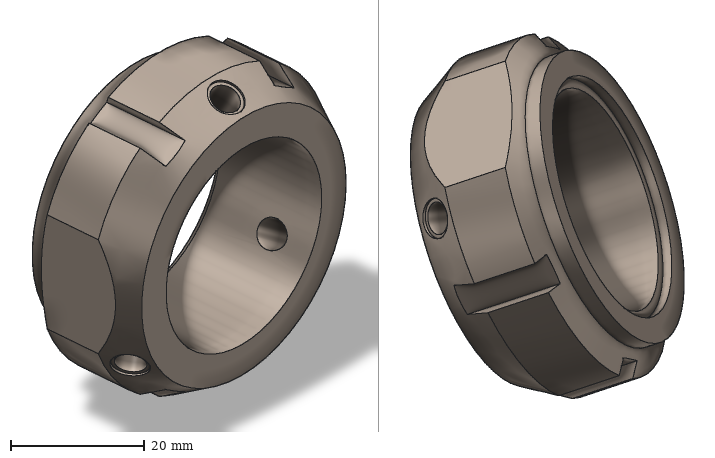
import cadquery as cq
import math

length = 22.0
outer_radius = 54.0 / 2
end_radius = 46.0 / 2
shoulder_length = 2.5
steep_cone_angle = 60.0
shallow_cone_angle = 30.0

bore_radius = 35.0 / 2
recess_radius = 38.0 / 2
recess_depth = 1.5

flat_width = 50.0

slot_width = 5.0
slot_floor_radius = 24.5
slot_angles = (60, 120, 240, 300)

screw_hole_diameter = 4.92
counterbore_diameter = 6.1
counterbore_depth = 0.5
screw_hole_setback = 3.5
screw_hole_angles = (90, 210, 330)

cone_height = outer_radius - end_radius
steep_cone_end = shoulder_length + cone_height / math.tan(math.radians(steep_cone_angle))
shallow_cone_slope = math.tan(math.radians(shallow_cone_angle))
shallow_cone_start = length - cone_height / shallow_cone_slope
screw_hole_x = length - screw_hole_setback
screw_hole_radius_at_cone = end_radius + screw_hole_setback * shallow_cone_slope
cutter_margin = 2.0

X_AXIS_START = (0, 0, 0)
X_AXIS_END = (1, 0, 0)


def turned_body():
    """Ring with a shoulder, two cones, a bore and a bore recess."""
    profile = (
        cq.Workplane("XY")
        .moveTo(0, recess_radius)
        .lineTo(0, end_radius)
        .lineTo(shoulder_length, end_radius)
        .lineTo(steep_cone_end, outer_radius)
        .lineTo(shallow_cone_start, outer_radius)
        .lineTo(length, end_radius)
        .lineTo(length, bore_radius)
        .lineTo(recess_depth, bore_radius)
        .lineTo(recess_depth, recess_radius)
        .close()
    )
    return profile.revolve(360, X_AXIS_START, X_AXIS_END)


def flats_envelope():
    """Block whose Y faces form the two flats."""
    return cq.Workplane("XY").box(
        length, flat_width, 2 * outer_radius, centered=(False, True, True)
    )


def spanner_slot(angle):
    """Cutter for one straight slot running along X."""
    cutter_height = outer_radius + cutter_margin - slot_floor_radius
    cutter = (
        cq.Workplane("XY")
        .box(length, cutter_height, slot_width, centered=(False, False, True))
        .translate((0, slot_floor_radius, 0))
    )
    return cutter.rotate(X_AXIS_START, X_AXIS_END, angle)


def screw_hole(angle):
    """Cutter for one counterbored hole square to the shallow cone, open into the bore."""
    tilt = math.radians(shallow_cone_angle)
    inward = cq.Vector(-math.sin(tilt), -math.cos(tilt), 0)
    mouth = cq.Vector(screw_hole_x, screw_hole_radius_at_cone, 0)
    cutter_start = mouth - inward * cutter_margin
    drill_depth = screw_hole_radius_at_cone
    drill = cq.Solid.makeCylinder(
        screw_hole_diameter / 2, drill_depth + cutter_margin, cutter_start, inward
    )
    counterbore = cq.Solid.makeCylinder(
        counterbore_diameter / 2, counterbore_depth + cutter_margin, cutter_start, inward
    )
    cutter = cq.Workplane(obj=drill).union(cq.Workplane(obj=counterbore))
    return cutter.rotate(X_AXIS_START, X_AXIS_END, angle)


result = turned_body().intersect(flats_envelope())

for slot_angle in slot_angles:
    result = result.cut(spanner_slot(slot_angle))

for hole_angle in screw_hole_angles:
    result = result.cut(screw_hole(hole_angle))